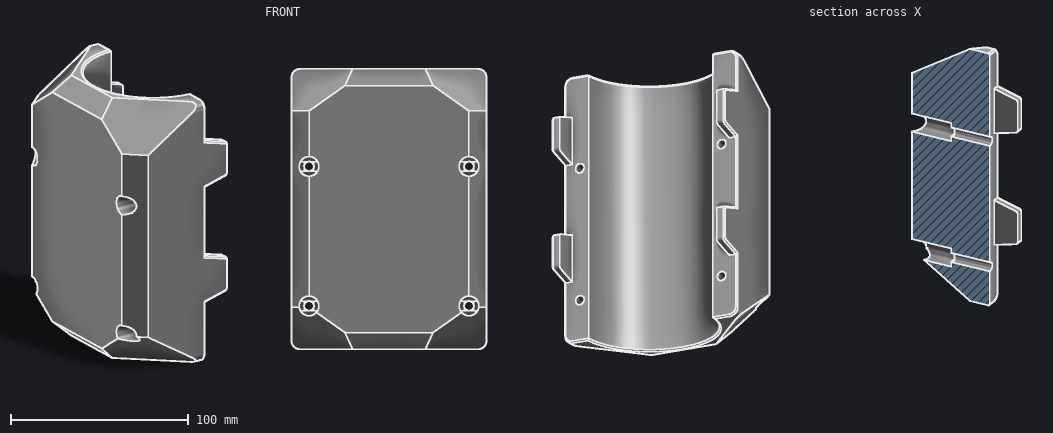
import cadquery as cq

width = 110.0
height = 158.0
overall_depth = 65.4
body_depth = 50.2
half_width = width / 2
half_height = height / 2
front_y = -body_depth
corner_radius = 5.0
edge_chamfer = 1.0

bore_radius = 39.5
bore_axis_y = 1.6

tab_length = overall_depth - body_depth
tab_thickness = 5.0
tab_base_width = 28.0
tab_tip_width = 20.0
tab_tip_radius = 1.9
tab_z_positions = (41.0, -28.9)

side_bevel_x = 10.0
side_bevel_y = 11.0
end_bevel_z = 9.5
end_bevel_y = 10.1
corner_reach_x = 43.6
corner_reach_y = corner_reach_x * side_bevel_y / side_bevel_x
corner_reach_z = 30.8

screw_x = 45.0
screw_z_positions = (24.0, -54.5)
screw_diameter = 5.4
head_diameter = 11.0
head_depth = 25.3
bridge_step = 0.5


def box_between(x_range, y_range, z_range):
    """Box given by its limits along each axis."""
    limits = (x_range, y_range, z_range)
    size = [high - low for low, high in limits]
    return cq.Workplane("XY").box(*size, centered=False).translate([low for low, high in limits])


def make_tab(side, z_center):
    """Tapered tab flush with one outer side wall."""
    outline = [
        (0, z_center - tab_base_width / 2),
        (tab_length, z_center - tab_tip_width / 2),
        (tab_length, z_center + tab_tip_width / 2),
        (0, z_center + tab_base_width / 2),
    ]
    tab = cq.Workplane("YZ").polyline(outline).close().extrude(tab_thickness)
    tab = tab.edges("|X and >Y").fillet(tab_tip_radius)
    start_x = half_width - tab_thickness if side > 0 else -half_width
    return tab.translate((start_x, 0, 0))


def make_side_bevel(side):
    """Wedge along the front edge of one side wall."""
    outline = [
        (side * half_width, front_y),
        (side * (half_width - side_bevel_x), front_y),
        (side * half_width, front_y + side_bevel_y),
    ]
    return cq.Workplane("XY").polyline(outline).close().extrude(half_height, both=True)


def make_end_bevel(end):
    """Wedge along the front edge of one end wall."""
    outline = [
        (front_y, end * half_height),
        (front_y, end * (half_height - end_bevel_z)),
        (front_y + end_bevel_y, end * half_height),
    ]
    return cq.Workplane("YZ").polyline(outline).close().extrude(half_width, both=True)


def make_corner_bevel(side, end):
    """Tetrahedron that slices off one front corner with a single oblique plane."""
    corner = cq.Vector(side * half_width, front_y, end * half_height)
    on_x = corner - cq.Vector(side * corner_reach_x, 0, 0)
    on_y = corner + cq.Vector(0, corner_reach_y, 0)
    on_z = corner - cq.Vector(0, 0, end * corner_reach_z)
    triangles = ((corner, on_x, on_y), (corner, on_y, on_z), (corner, on_z, on_x), (on_x, on_y, on_z))
    faces = [cq.Face.makeFromWires(cq.Wire.makePolygon(list(points), close=True)) for points in triangles]
    return cq.Workplane(cq.Solid.makeSolid(cq.Shell.makeShell(faces)).fix())


def make_screw_hole(x, z):
    """Through hole and head recess, joined by a slot step and a square step."""
    half_hole = screw_diameter / 2
    recess_floor = front_y + head_depth
    slot_floor = recess_floor + bridge_step
    square_floor = slot_floor + bridge_step
    front_plane = cq.Workplane("XZ", origin=(x, front_y, z))
    shank = front_plane.circle(half_hole).extrude(-body_depth)
    recess = front_plane.circle(head_diameter / 2).extrude(-head_depth)
    head_envelope = front_plane.circle(head_diameter / 2).extrude(-body_depth)
    z_range = (z - half_hole, z + half_hole)
    slot_range = (x - head_diameter / 2, x + head_diameter / 2)
    slot = box_between(slot_range, (recess_floor, slot_floor), z_range).intersect(head_envelope)
    square = box_between((x - half_hole, x + half_hole), (slot_floor, square_floor), z_range)
    return shank.union(recess).union(slot).union(square)


body = box_between((-half_width, half_width), (front_y, 0), (-half_height, half_height))
body = body.edges("|Y").fillet(corner_radius)
saddle = cq.Workplane("XY").center(0, bore_axis_y).circle(bore_radius).extrude(half_height, both=True)
body = body.cut(saddle)
for side in (-1, 1):
    for tab_z in tab_z_positions:
        body = body.union(make_tab(side, tab_z))
body = body.clean()

outer_walls = body.faces("<X or >X or <Z or >Z")
body = outer_walls.edges("not (|Y or <Y)").chamfer(edge_chamfer)

for side in (-1, 1):
    body = body.cut(make_side_bevel(side)).cut(make_end_bevel(side))
    for end in (-1, 1):
        body = body.cut(make_corner_bevel(side, end))
    for screw_z in screw_z_positions:
        body = body.cut(make_screw_hole(side * screw_x, screw_z))

result = body